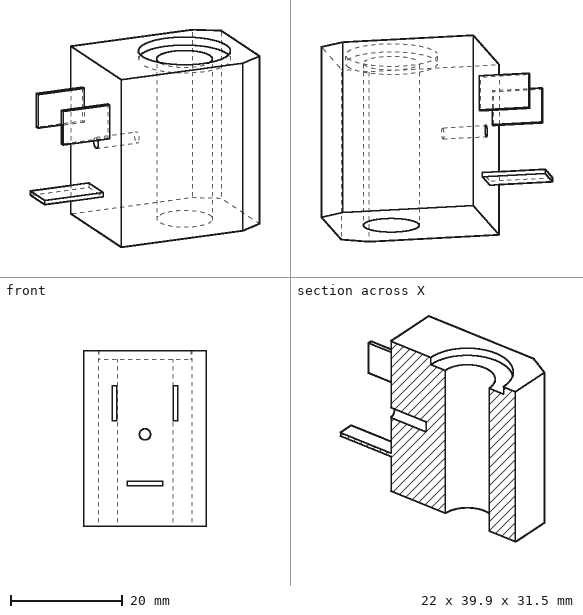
import cadquery as cq
import math

BODY_WIDTH = 22.0
BODY_LENGTH = 28.4
BODY_HEIGHT = 31.5
BACK_Y = BODY_WIDTH / 2
FRONT_Y = BACK_Y - BODY_LENGTH

BEVEL_LENGTH = 4.5
BEVEL_ANGLE = math.radians(30)
BEVEL_WIDTH = BEVEL_LENGTH * math.tan(BEVEL_ANGLE)

BORE_DIAMETER = 10.0
COUNTERBORE_DIAMETER = 16.5
COUNTERBORE_DEPTH = 1.5

SCREW_HOLE_DIAMETER = 2.0
SCREW_HOLE_DEPTH = 8.0
SCREW_HOLE_Z = 16.5

BLADE_WIDTH = 6.3
BLADE_THICKNESS = 0.8
CONTACT_LENGTH = 9.1
CONTACT_SPACING = 11.0
CONTACT_Z = 22.1
GROUND_LENGTH = 11.5
GROUND_Z = 7.65


def make_body():
    half_width = BODY_WIDTH / 2
    half_back = half_width - BEVEL_WIDTH
    bevel_y = BACK_Y - BEVEL_LENGTH
    outline = [
        (-half_width, FRONT_Y),
        (half_width, FRONT_Y),
        (half_width, bevel_y),
        (half_back, BACK_Y),
        (-half_back, BACK_Y),
        (-half_width, bevel_y),
    ]
    return cq.Workplane("XY").polyline(outline).close().extrude(BODY_HEIGHT)


def cut_bore(body):
    return (
        body.faces(">Z")
        .workplane(origin=(0, 0, BODY_HEIGHT))
        .cboreHole(BORE_DIAMETER, COUNTERBORE_DIAMETER, COUNTERBORE_DEPTH)
    )


def cut_screw_hole(body):
    return (
        body.faces("<Y")
        .workplane(origin=(0, FRONT_Y, SCREW_HOLE_Z))
        .hole(SCREW_HOLE_DIAMETER, SCREW_HOLE_DEPTH)
    )


def make_blade(x, z, size_x, size_z, length):
    """Flat blade centred on (x, z), reaching out from the front face."""
    return cq.Workplane("XY").box(size_x, length, size_z).translate((x, FRONT_Y - length / 2, z))


result = cut_screw_hole(cut_bore(make_body()))

for side in (-1, 1):
    contact_x = side * CONTACT_SPACING / 2
    result = result.union(make_blade(contact_x, CONTACT_Z, BLADE_THICKNESS, BLADE_WIDTH, CONTACT_LENGTH))

result = result.union(make_blade(0, GROUND_Z, BLADE_WIDTH, BLADE_THICKNESS, GROUND_LENGTH))